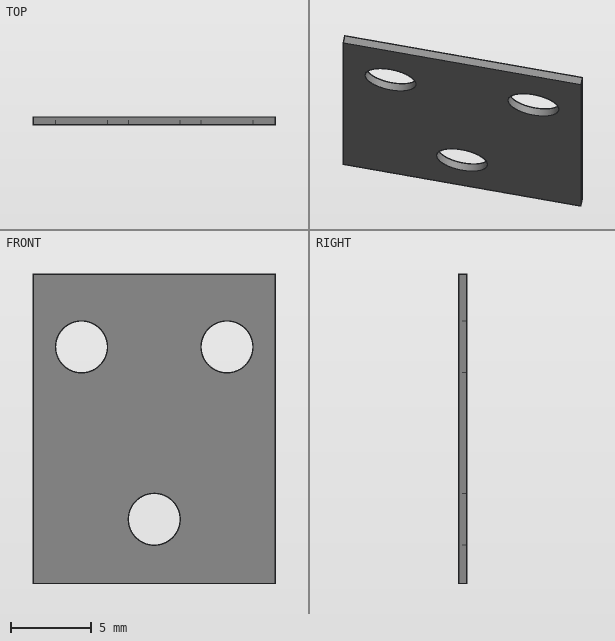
import cadquery as cq

width = 15.0
height = 19.18
thickness = 0.5

hole_diameter = 3.2
upper_hole_inset = 4.5
upper_hole_offset = 4.5
lower_hole_inset = 3.99

upper_hole_z = height / 2 - upper_hole_inset
lower_hole_z = -height / 2 + lower_hole_inset
hole_centres = [
    (-upper_hole_offset, upper_hole_z),
    (upper_hole_offset, upper_hole_z),
    (0, lower_hole_z),
]

plate = cq.Workplane("XY").box(width, thickness, height)

result = (
    plate.faces("<Y")
    .workplane(centerOption="CenterOfBoundBox")
    .pushPoints(hole_centres)
    .hole(hole_diameter)
)